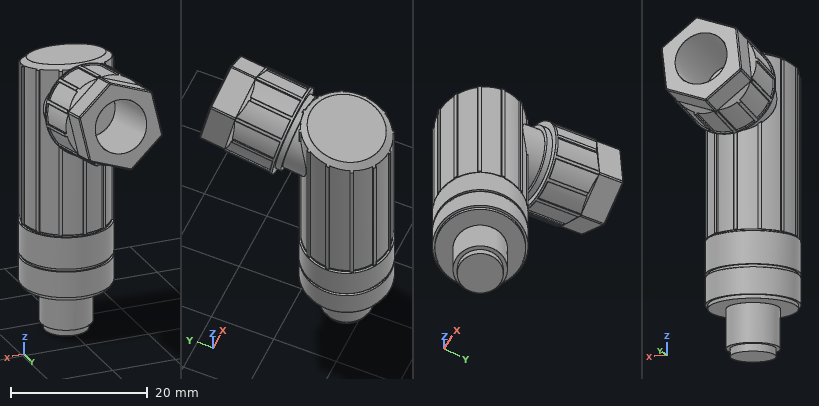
import cadquery as cq
import math


full_turn = 360
quarter_turn = full_turn / 4

outer_diameter = 14.0
outer_radius = outer_diameter / 2
tilt_angle = 10.0

tip_radius = 3.4
tip_top = 1.15
pin_radius = 4.0
pin_top = 7.18
groove_radius = 6.65
lower_ring_bottom = 7.75
lower_ring_top = 11.8
upper_ring_bottom = 12.3
upper_ring_top = 17.3

body_bottom = 17.6
rib_count = 12
rib_width = 0.5
land_depth = 0.25
land_radius = outer_radius - land_depth
top_height = 43.6
top_radius = 5.85
top_chamfer_angle = 35.0
body_blank_top = 51.6

nut_axis_height = 36.68
neck_radius = 5.4
flange_radius = 6.0
flange_start = 7.8
nut_start = 8.7
rim_length = 0.38
land_start = nut_start + rim_length
hex_start = 16.5
nut_end = 20.65
nut_turn = 10.0
hex_sides = 6
hex_apothem = 6.0
hex_corner_radius = 6.85
hex_end_chamfer = 0.2
shoulder_length = 0.85
bore_radius = 4.1
bore_depth = nut_end - nut_start


def cylinder(radius, start, end):
    """Cylinder on the Z axis between two heights."""
    return cq.Workplane("XY").workplane(offset=start).circle(radius).extrude(end - start)


def ribbed_cylinder(start, end):
    """Recessed cylinder with straight ribs that reach the outer radius."""
    length = end - start
    ribbed = cylinder(land_radius, start, end)
    for index in range(rib_count // 2):
        bar = cq.Workplane("XY").workplane(offset=start).rect(2 * outer_radius, rib_width).extrude(length)
        bar = bar.intersect(cylinder(outer_radius, start, end))
        ribbed = ribbed.union(bar.rotate((0, 0, 0), (0, 0, 1), index * full_turn / rib_count))
    return ribbed


def incline(shape, height):
    """Tilt a shape's +Z direction toward -Y, then lift it to a height on the body axis."""
    return shape.rotate((0, 0, 0), (1, 0, 0), tilt_angle).translate((0, 0, height))


def make_plug():
    plug = cylinder(tip_radius, 0, tip_top)
    plug = plug.union(cylinder(pin_radius, tip_top, pin_top))
    plug = plug.union(cylinder(groove_radius, pin_top, body_bottom))
    plug = plug.union(cylinder(outer_radius, lower_ring_bottom, lower_ring_top))
    return plug.union(cylinder(outer_radius, upper_ring_bottom, upper_ring_top))


def make_body():
    """Ribbed body trimmed by an inclined flat with a conical edge."""
    body = ribbed_cylinder(body_bottom, body_blank_top)
    drop = top_height - body_bottom + outer_radius
    base_radius = top_radius + drop / math.tan(math.radians(top_chamfer_angle))
    cap = cq.Workplane("XZ").polyline([(0, 0), (top_radius, 0), (base_radius, -drop), (0, -drop)]).close()
    cap = cap.revolve(full_turn, (0, 0, 0), (0, 1, 0))
    return body.intersect(incline(cap, top_height))


def hex_outline(apothem, start):
    """Hexagon wire with two corners on the X axis, sized by its apothem."""
    diameter = 2 * apothem / math.cos(math.pi / hex_sides)
    return cq.Workplane("XY").workplane(offset=start).polygon(hex_sides, diameter)


def make_nut():
    """Ribbed nut on the Z axis with a hexagonal end, before it is inclined."""
    rim = cylinder(outer_radius, nut_start, land_start)
    shoulder_start = hex_start - shoulder_length
    barrel = ribbed_cylinder(land_start, shoulder_start)

    slope_run = outer_radius - hex_apothem
    slope_angle = math.degrees(math.atan(slope_run / shoulder_length))
    shoulder = hex_outline(outer_radius, shoulder_start).extrude(shoulder_length, taper=slope_angle)
    shoulder = shoulder.intersect(ribbed_cylinder(shoulder_start, hex_start))

    hexagon = hex_outline(hex_apothem, hex_start).extrude(nut_end - hex_start)
    hexagon = hexagon.intersect(cylinder(hex_corner_radius, hex_start, nut_end))
    hexagon = hexagon.faces(">Z").chamfer(hex_end_chamfer)
    nut = rim.union(barrel).union(shoulder).union(hexagon)

    return nut.rotate((0, 0, 0), (0, 0, 1), quarter_turn + nut_turn)


def make_outlet():
    """Neck, flange and nut along the inclined axis, whose +Z end points to +Y."""
    outlet = cylinder(neck_radius, 0, nut_start)
    outlet = outlet.union(cylinder(flange_radius, flange_start, nut_start))
    outlet = outlet.union(make_nut())
    outlet = outlet.cut(cylinder(bore_radius, nut_end - bore_depth, nut_end))
    outlet = outlet.rotate((0, 0, 0), (1, 0, 0), -quarter_turn)
    return incline(outlet, nut_axis_height)


result = make_plug().union(make_body()).union(make_outlet())